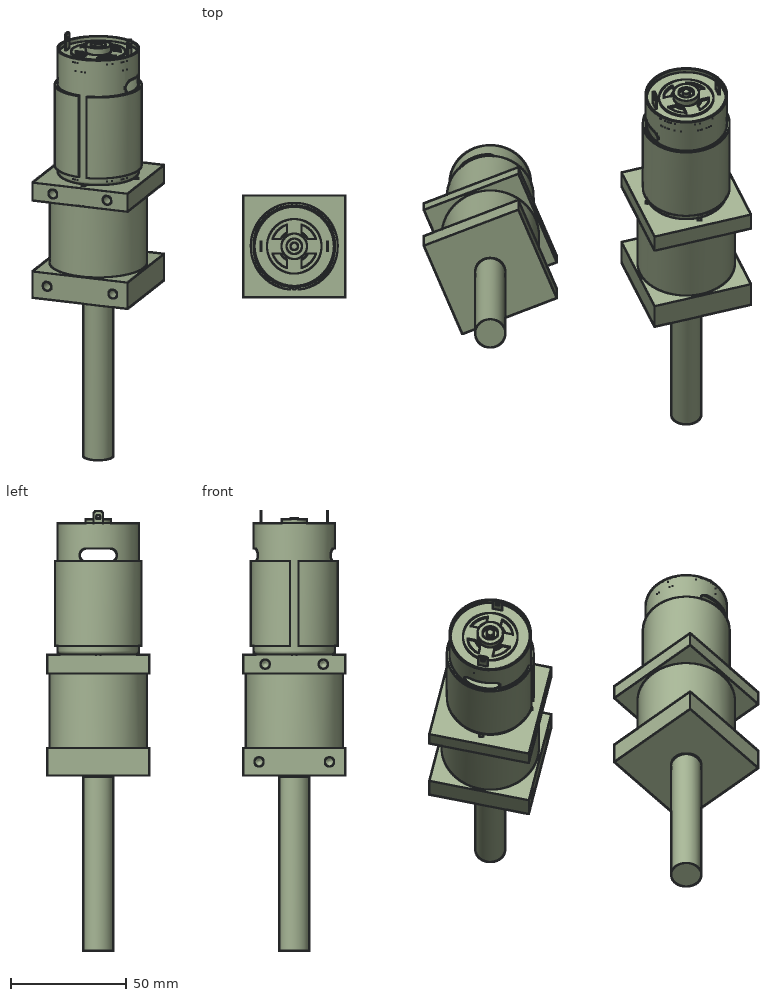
import cadquery as cq
import math

PLATE_SIDE = 44.4
LOWER_PLATE_THICKNESS = 12.0
UPPER_PLATE_THICKNESS = 8.2
LOWER_HOLE_OFFSET = 15.3
UPPER_HOLE_OFFSET = 12.6
SIDE_HOLE_DIAMETER = 4.0
SIDE_HOLE_DEPTH = 7.6
DRILL_POINT_ANGLE = 118.0
MOUNT_HOLE_OFFSET = 17.8
MOUNT_HOLE_RADIUS = 1.0

GEAR_HOUSING_RADIUS = 21.2
GEAR_HOUSING_LENGTH = 32.3
SHAFT_DIAMETER = 13.2
PILOT_HEIGHT = 0.5

CAN_RADIUS = 17.8
CAN_LENGTH = 57.2
CAN_WALL = 0.5
CAN_FLOOR = 2.0
CAN_EDGE_FILLET = 1.5
VENT_WIDTH = 16.0
VENT_HEIGHT = 5.7
VENT_RISE = 2.5
RING_RADIUS = 19.0
RING_LENGTH = 37.0
RING_CLEARANCE = 3.8
RING_GAP = 3.8

CAP_RECESS = 2.0
CAP_THICKNESS = 3.8
CAP_DISC_RADIUS = 11.9
CAP_DISC_HEIGHT = 0.5
BOSS_RADIUS = 5.5
BOSS_RISE = 1.7
BOSS_BORE_DIAMETER = 6.7
BOSS_BORE_DEPTH = 1.5
STUB_RADIUS = 1.63
STUB_RISE = 0.5
WINDOW_OUTER_RADIUS = 10.0
WINDOW_INNER_RADIUS = 6.7
WINDOW_DEPTH = 1.0
SPOKE_WIDTH = 6.3

TERMINAL_SPACING = 28.9
TERMINAL_WIDTH = 4.2
TERMINAL_THICKNESS = 0.5
TERMINAL_RISE = 5.4
TERMINAL_CHAMFER = 1.0
TERMINAL_HOLE_RADIUS = 0.86

TOTAL_LENGTH = 191.2
UPPER_PLATE_BASE = LOWER_PLATE_THICKNESS + GEAR_HOUSING_LENGTH
CAN_BASE = UPPER_PLATE_BASE + UPPER_PLATE_THICKNESS
CAN_TOP = CAN_BASE + CAN_LENGTH
RING_BASE = CAN_BASE + RING_CLEARANCE
RING_TOP = RING_BASE + RING_LENGTH
CAP_FACE = CAN_TOP - CAP_RECESS
DISC_FACE = CAP_FACE + CAP_DISC_HEIGHT
BOSS_TOP = CAN_TOP + BOSS_RISE
TERMINAL_TOP = CAN_TOP + TERMINAL_RISE
SHAFT_END = TERMINAL_TOP - TOTAL_LENGTH


def cylinder(radius, bottom, top):
    """Cylinder on the Z axis between two heights."""
    return cq.Workplane("XY").workplane(offset=bottom).circle(radius).extrude(top - bottom)


def block(x_size, y_size, bottom, top):
    """Block centred on the Z axis between two heights."""
    return cq.Workplane("XY").workplane(offset=bottom).rect(x_size, y_size).extrude(top - bottom)


def drilled_hole(x, z):
    """Blind hole with a conical end, drilled into the -Y side of a plate."""
    radius = SIDE_HOLE_DIAMETER / 2
    point_length = radius / math.tan(math.radians(DRILL_POINT_ANGLE / 2))
    front = -PLATE_SIDE / 2
    return (
        cq.Workplane("XY")
        .moveTo(0, front)
        .lineTo(radius, front)
        .lineTo(radius, front + SIDE_HOLE_DEPTH)
        .lineTo(0, front + SIDE_HOLE_DEPTH + point_length)
        .close()
        .revolve(360, (0, 0), (0, 1))
        .translate((x, 0, z))
    )


def make_plate(base, thickness, hole_offset):
    """Square plate with two blind holes in its -Y side."""
    plate = block(PLATE_SIDE, PLATE_SIDE, base, base + thickness)
    for x in (-hole_offset, hole_offset):
        plate = plate.cut(drilled_hole(x, base + thickness / 2))
    return plate


def make_lower_plate():
    """Output plate with a shallow round pilot that the shaft sits against."""
    plate = make_plate(0, LOWER_PLATE_THICKNESS, LOWER_HOLE_OFFSET)
    return plate.union(cylinder(SHAFT_DIAMETER / 2, -PILOT_HEIGHT, 0))


def make_upper_plate():
    """Motor plate with four mounting holes under the rim of the can."""
    plate = make_plate(UPPER_PLATE_BASE, UPPER_PLATE_THICKNESS, UPPER_HOLE_OFFSET)
    mount_holes = (
        cq.Workplane("XY")
        .workplane(offset=UPPER_PLATE_BASE)
        .polarArray(MOUNT_HOLE_OFFSET, 0, 360, 4)
        .circle(MOUNT_HOLE_RADIUS)
        .extrude(UPPER_PLATE_THICKNESS)
    )
    return plate.cut(mount_holes)


def make_can():
    """Hollow can, open at the top, with a vent slot on the -X and +X sides."""
    can = cylinder(CAN_RADIUS, CAN_BASE, CAN_TOP).faces("<Z").edges().fillet(CAN_EDGE_FILLET)
    can = can.cut(cylinder(CAN_RADIUS - CAN_WALL, CAN_BASE + CAN_FLOOR, CAN_TOP))
    vent = (
        cq.Workplane("YZ")
        .center(0, RING_TOP + VENT_RISE)
        .slot2D(VENT_WIDTH, VENT_HEIGHT)
        .extrude(CAN_RADIUS, both=True)
    )
    return can.cut(vent)


def make_magnetic_ring():
    """Sleeve around the can, split by a gap on the -Y side."""
    ring = cylinder(RING_RADIUS, RING_BASE, RING_TOP).cut(cylinder(CAN_RADIUS, RING_BASE, RING_TOP))
    gap = block(RING_GAP, RING_RADIUS, RING_BASE, RING_TOP).translate((0, -RING_RADIUS, 0))
    return ring.cut(gap)


def window_cutter():
    """Four ring-sector pockets left between the cross-shaped spokes."""
    floor = DISC_FACE - WINDOW_DEPTH
    pockets = cylinder(WINDOW_OUTER_RADIUS, floor, DISC_FACE)
    pockets = pockets.cut(cylinder(WINDOW_INNER_RADIUS, floor, DISC_FACE))
    spoke_length = 2 * WINDOW_OUTER_RADIUS
    pockets = pockets.cut(block(SPOKE_WIDTH, spoke_length, floor, DISC_FACE))
    return pockets.cut(block(spoke_length, SPOKE_WIDTH, floor, DISC_FACE))


def terminal(x):
    """Upright blade with chamfered top corners and a cross hole."""
    blade = block(TERMINAL_THICKNESS, TERMINAL_WIDTH, CAP_FACE, TERMINAL_TOP)
    blade = blade.faces(">Z").edges("|X").chamfer(TERMINAL_CHAMFER)
    hole = (
        cq.Workplane("YZ")
        .center(0, CAN_TOP + TERMINAL_RISE / 2)
        .circle(TERMINAL_HOLE_RADIUS)
        .extrude(TERMINAL_THICKNESS, both=True)
    )
    return blade.cut(hole).translate((x, 0, 0))


def make_end_cap():
    """Cap inside the can, with a raised disc, a shaft boss and two terminals."""
    cap = cylinder(CAN_RADIUS - CAN_WALL, CAP_FACE - CAP_THICKNESS, CAP_FACE)
    cap = cap.union(cylinder(CAP_DISC_RADIUS, CAP_FACE, DISC_FACE))
    cap = cap.cut(window_cutter())
    cap = cap.union(cylinder(BOSS_RADIUS, DISC_FACE, BOSS_TOP))
    bore_floor = BOSS_TOP - BOSS_BORE_DEPTH
    cap = cap.cut(cylinder(BOSS_BORE_DIAMETER / 2, bore_floor, BOSS_TOP))
    cap = cap.union(cylinder(STUB_RADIUS, bore_floor, BOSS_TOP + STUB_RISE))
    for x in (-TERMINAL_SPACING / 2, TERMINAL_SPACING / 2):
        cap = cap.union(terminal(x))
    return cap


lower_plate = make_lower_plate()
gear_housing = cylinder(GEAR_HOUSING_RADIUS, LOWER_PLATE_THICKNESS, UPPER_PLATE_BASE)
upper_plate = make_upper_plate()
output_shaft = cylinder(SHAFT_DIAMETER / 2, SHAFT_END, -PILOT_HEIGHT)
motor_can = make_can()
magnetic_ring = make_magnetic_ring()
end_cap = make_end_cap()

result = cq.Compound.makeCompound(
    [
        lower_plate.val(),
        gear_housing.val(),
        upper_plate.val(),
        output_shaft.val(),
        motor_can.val(),
        magnetic_ring.val(),
        end_cap.val(),
    ]
)